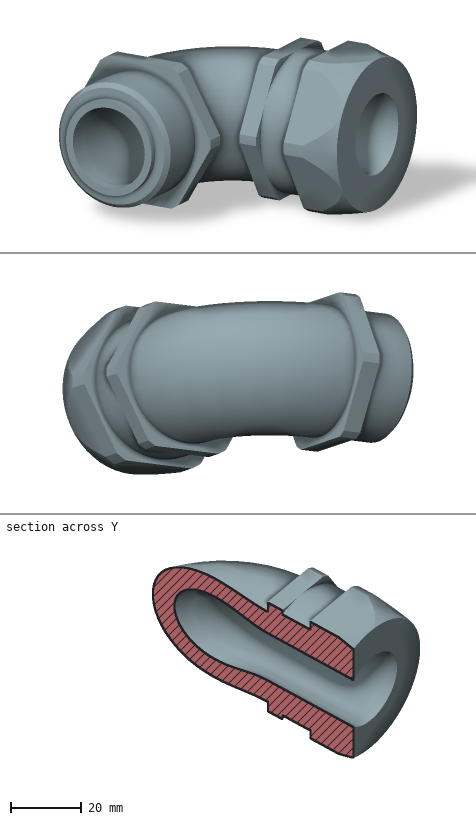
import cadquery as cq
import math


bore_diameter = 23.8
elbow_diameter = 38.2
bend_radius = 27.5

collar_flats = 42.0
collar_corners = 47.0
collar_thickness = 5.5
collar_end = bend_radius + collar_thickness

spigot_diameter = 37.0
spigot_length = 15.0
spigot_chamfer = 1.3
lip_diameter = 28.3
lip_length = 2.0
inlet_end = collar_end + spigot_length + lip_length

body_diameter = collar_flats
body_length = 10.0
nut_start = collar_end + body_length
nut_flats = 45.0
nut_corners = 50.0
nut_length = 16.0
nut_taper_length = 9.8
nut_taper_angle = 15.0
outlet_end = nut_start + nut_length

inlet_plane = cq.Plane(origin=(0, 0, 0), xDir=(1, 0, 0), normal=(0, -1, 0))
outlet_plane = cq.Plane(origin=(0, 0, 0), xDir=(0, 1, 0), normal=(1, 0, 0))


def cylinder(plane, diameter, start, end):
    """Cylinder along the plane's normal between two distances from the origin."""
    return cq.Workplane(plane).workplane(offset=start).circle(diameter / 2).extrude(end - start)


def rounded_hexagon(plane, flats, corners, start, end):
    """Hexagonal prism whose corners are turned down to a cylinder."""
    sharp_corners = flats / math.cos(math.pi / 6)
    prism = cq.Workplane(plane).workplane(offset=start).polygon(6, sharp_corners).extrude(end - start)
    return prism.intersect(cylinder(plane, corners, start, end))


def quarter_bend(diameter):
    """Round bar swept a quarter turn from the inlet collar to the outlet collar."""
    return (
        cq.Workplane("XZ", origin=(0, -bend_radius, 0))
        .circle(diameter / 2)
        .revolve(90, (bend_radius, 0, 0), (bend_radius, -1, 0))
    )


def make_inlet():
    collar = rounded_hexagon(inlet_plane, collar_flats, collar_corners, bend_radius, collar_end)
    spigot = cylinder(inlet_plane, spigot_diameter, collar_end, collar_end + spigot_length)
    spigot = spigot.faces("<Y").chamfer(spigot_chamfer)
    lip = cylinder(inlet_plane, lip_diameter, collar_end + spigot_length, inlet_end)
    return collar.union(spigot).union(lip)


def make_nut():
    """Hexagonal nut whose outer end is turned to a shallow cone."""
    hexagon = rounded_hexagon(outlet_plane, nut_flats, nut_corners, nut_start, outlet_end)
    corner_radius = nut_corners / 2
    end_radius = corner_radius - nut_taper_length * math.tan(math.radians(nut_taper_angle))
    turned_envelope = (
        cq.Workplane("XY")
        .moveTo(nut_start, 0)
        .lineTo(nut_start, corner_radius)
        .lineTo(outlet_end - nut_taper_length, corner_radius)
        .lineTo(outlet_end, end_radius)
        .lineTo(outlet_end, 0)
        .close()
        .revolve(360, (0, 0, 0), (1, 0, 0))
    )
    return hexagon.intersect(turned_envelope)


def make_outlet():
    collar = rounded_hexagon(outlet_plane, collar_flats, collar_corners, bend_radius, collar_end)
    body = cylinder(outlet_plane, body_diameter, collar_end, nut_start)
    return collar.union(body).union(make_nut())


def make_passage():
    """Constant-diameter passage from the inlet tip to the outlet end."""
    inlet_bore = cylinder(inlet_plane, bore_diameter, bend_radius, inlet_end)
    outlet_bore = cylinder(outlet_plane, bore_diameter, bend_radius, outlet_end)
    return quarter_bend(bore_diameter).union(inlet_bore).union(outlet_bore)


fitting = quarter_bend(elbow_diameter).union(make_inlet()).union(make_outlet())
result = fitting.cut(make_passage())